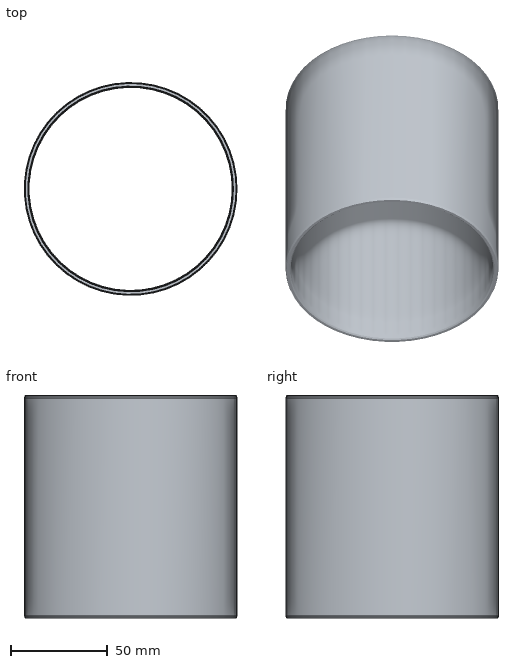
import math

import cadquery as cq

OUTER_DIAMETER = 110.0
WALL_THICKNESS = 2.45
HEIGHT = 115.0
OUTER_TAPER_LENGTH = 1.2
OUTER_TAPER_ANGLE = 20.0
INNER_CHAMFER = 0.6

outer_radius = OUTER_DIAMETER / 2
inner_radius = outer_radius - WALL_THICKNESS
outer_taper_depth = OUTER_TAPER_LENGTH * math.tan(math.radians(OUTER_TAPER_ANGLE))


def tube_wall():
    """Plain open-ended tube standing on the XY plane."""
    return cq.Workplane("XY").circle(outer_radius).circle(inner_radius).extrude(HEIGHT)


def bevel_inner_edges(tube):
    """Bevel the bore edge at both ends."""
    bore_edges = tube.edges(cq.selectors.RadiusNthSelector(0))
    return bore_edges.chamfer(INNER_CHAMFER)


def tapered_end_cutter():
    """Ring that trims the lower outer edge to a shallow taper."""
    section = [
        (outer_radius - outer_taper_depth, 0),
        (outer_radius, 0),
        (outer_radius, OUTER_TAPER_LENGTH),
    ]
    return cq.Workplane("XZ").polyline(section).close().revolve(360, (0, 0, 0), (0, 1, 0))


def taper_outer_edges(tube):
    """Taper the outside edge at both ends, mirrored about mid-height."""
    lower_cutter = tapered_end_cutter()
    upper_cutter = lower_cutter.mirror("XY", (0, 0, HEIGHT / 2))
    return tube.cut(lower_cutter).cut(upper_cutter)


result = taper_outer_edges(bevel_inner_edges(tube_wall()))